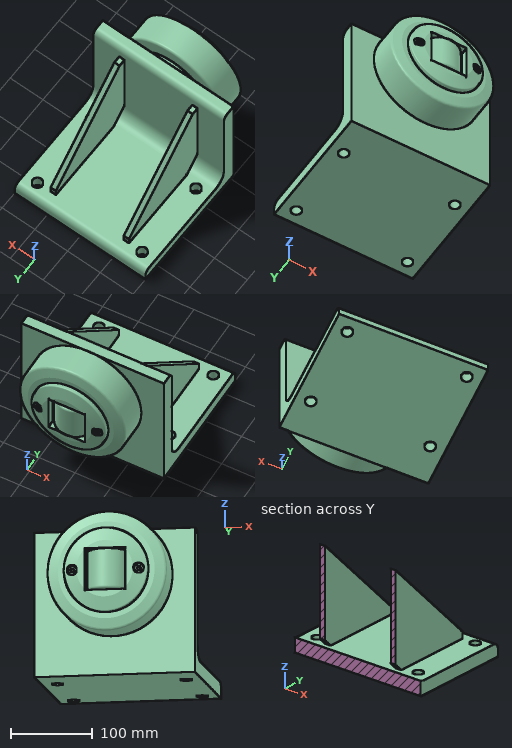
import cadquery as cq

width = 200.0
leg = 180.0
thickness = 20.0
inner_radius = 18.0
edge_radius = 9.0
bolt_hole_diameter = 14.0
bolt_spacing_x = 160.0
bolt_rows_y = (50.0, leg - thickness)

rib_thickness = 8.0
rib_spacing = 111.8
rib_margin = 20.0
rib_end_height = 10.0
rib_corner_cut = 22.0

axis_z = 120.0
roller_radius = 74.5
roller_back = 8.5
roller_front = 54.3
roller_edge_radius = 3.5
roller_face_radius = 60.3
roller_taper = 3.7
hub_diameter = 103.0

disc_diameter = 104.5
disc_shoulder = 60.5
disc_front = 65.5
disc_face_radius = 35.0
disc_edge_radius = 1.5

window_width = 50.8
window_height = 52.0
window_depth = 10.5
side_roller_radius = 27.1
side_roller_length = 50.0
side_roller_edge = 3.0
side_roller_front = 69.0

screw_spacing = 83.2
screw_hole_diameter = 12.5
screw_head_diameter = 11.7
screw_floor = 58.8
screw_head_front = 61.3
hex_width = 5.0
hex_depth = 2.0


def front_plane(distance):
    """Plane facing -Y, centred on the roller axis, at a distance in front of the bracket."""
    return cq.Workplane(cq.Plane(origin=(0, -distance, axis_z), xDir=(1, 0, 0), normal=(0, -1, 0)))


def make_bracket():
    outline = cq.Workplane("YZ").polyline(
        [(0, 0), (leg, 0), (leg, thickness), (thickness, thickness), (thickness, leg), (0, leg)]
    ).close()
    bracket = outline.extrude(width / 2, both=True)
    inner_corner = cq.selectors.NearestToPointSelector((0, thickness, thickness))
    bracket = bracket.edges(inner_corner).fillet(inner_radius)
    for edge_point in ((0, leg, thickness), (0, thickness, leg)):
        bracket = bracket.edges(cq.selectors.NearestToPointSelector(edge_point)).fillet(edge_radius)
    bolt_points = [(side * bolt_spacing_x / 2, y) for side in (-1, 1) for y in bolt_rows_y]
    holes = cq.Workplane("XY").pushPoints(bolt_points).circle(bolt_hole_diameter / 2).extrude(thickness)
    return bracket.cut(holes)


def make_rib(x):
    far = leg - rib_margin
    low = thickness + rib_end_height
    inner = thickness + rib_corner_cut
    points = [
        (thickness, inner),
        (thickness, far),
        (low, far),
        (far, low),
        (far, thickness),
        (inner, thickness),
    ]
    rib = cq.Workplane("YZ").polyline(points).close().extrude(rib_thickness / 2, both=True)
    return rib.translate((x, 0, 0))


def revolve_about_axis(points):
    """Turn a (radius, distance in front of the bracket) outline about the roller axis."""
    outline = cq.Workplane("XY").polyline([(radius, -front) for radius, front in points]).close()
    return outline.revolve(360, (0, 0, 0), (0, 1, 0)).translate((0, 0, axis_z))


def make_roller():
    roller = revolve_about_axis([
        (0, roller_back),
        (roller_radius, roller_back),
        (roller_radius, roller_front - roller_taper),
        (roller_face_radius, roller_front),
        (0, roller_front),
    ])
    rim = cq.selectors.RadiusNthSelector(-1)
    roller = roller.edges(rim).fillet(roller_edge_radius)
    hub = front_plane(0).circle(hub_diameter / 2).extrude(roller_back)
    return roller.union(hub)


def make_disc():
    disc = revolve_about_axis([
        (0, roller_front),
        (disc_diameter / 2, roller_front),
        (disc_diameter / 2, disc_shoulder),
        (disc_face_radius, disc_front),
        (0, disc_front),
    ])
    shoulder = cq.selectors.NearestToPointSelector((0, -disc_shoulder, axis_z))
    return disc.edges(shoulder).fillet(disc_edge_radius)


def make_side_roller():
    roller = cq.Workplane("XY").circle(side_roller_radius).extrude(side_roller_length / 2, both=True)
    roller = roller.edges().fillet(side_roller_edge)
    return roller.translate((0, side_roller_radius - side_roller_front, axis_z))


def make_screw(x):
    head_height = screw_head_front - screw_floor
    head = front_plane(screw_floor).center(x, 0).circle(screw_head_diameter / 2).extrude(head_height)
    socket = front_plane(screw_head_front - hex_depth).center(x, 0)
    return head.cut(socket.polygon(6, hex_width).extrude(hex_depth))


result = make_bracket()
for side in (-1, 1):
    result = result.union(make_rib(side * rib_spacing / 2))

result = result.union(make_roller()).union(make_disc())
window = front_plane(disc_front - window_depth).rect(window_width, window_height).extrude(window_depth)
result = result.cut(window).union(make_side_roller())

for side in (-1, 1):
    screw_x = side * screw_spacing / 2
    screw_hole = front_plane(screw_floor).center(screw_x, 0).circle(screw_hole_diameter / 2)
    result = result.cut(screw_hole.extrude(disc_front - screw_floor)).union(make_screw(screw_x))